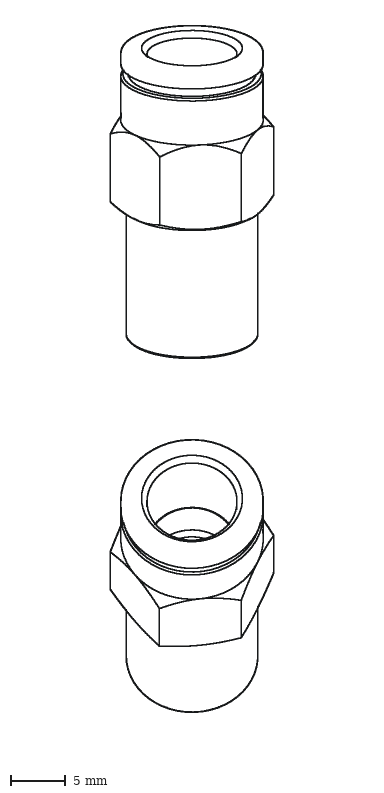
import cadquery as cq
import math

total_height = 28.0
hex_bottom = 12.52
hex_top = 21.0
housing_top = 25.48
flange_bottom = 26.45
sleeve_bottom = 19.6
seat_bottom = 15.4

stem_diameter = 12.0
stem_chamfer = 0.2
across_flats = 13.0
collar_diameter = across_flats
collar_chamfer = 0.2
across_corners = across_flats / math.cos(math.radians(30))
upper_hex_chamfer_angle = 45.0
lower_hex_chamfer_angle = 30.0
through_bore_diameter = 7.0
tube_bore_diameter = 8.1
recess_diameter = 11.6
seat_angle = 30.0

neck_diameter = 11.5
flange_diameter = 13.0
flange_round = 0.42
crown_diameter = 11.15
crown_drop = 0.1
sleeve_bore_diameter = 8.2
mouth_diameter = 9.18
mouth_depth = 0.55


def cone_drop(inner_diameter, outer_diameter, angle):
    """Height change of a cone between two diameters, sloped by angle from horizontal."""
    return (outer_diameter - inner_diameter) / 2 * math.tan(math.radians(angle))


def cylinder(diameter, bottom, top):
    return cq.Workplane("XY").workplane(offset=bottom).circle(diameter / 2).extrude(top - bottom)


def make_hexagon():
    """Hexagon with corners on X, trimmed by a cone at each end."""
    prism = (
        cq.Workplane("XY").workplane(offset=hex_bottom)
        .polygon(6, across_corners).extrude(hex_top - hex_bottom)
    )
    lower_drop = cone_drop(stem_diameter, across_corners, lower_hex_chamfer_angle)
    upper_drop = cone_drop(collar_diameter, across_corners, upper_hex_chamfer_angle)
    envelope = (
        cq.Workplane("XZ")
        .moveTo(0, hex_bottom)
        .lineTo(stem_diameter / 2, hex_bottom)
        .lineTo(across_corners / 2, hex_bottom + lower_drop)
        .lineTo(across_corners / 2, hex_top - upper_drop)
        .lineTo(collar_diameter / 2, hex_top)
        .lineTo(0, hex_top)
        .close()
        .revolve(360, (0, 0), (0, 1))
    )
    return prism.intersect(envelope)


def make_housing_cavity():
    """Through bore, conical tube seat, tube bore and sleeve recess."""
    seat_top = seat_bottom + cone_drop(through_bore_diameter, tube_bore_diameter, seat_angle)
    return (
        cq.Workplane("XZ")
        .lineTo(through_bore_diameter / 2, 0)
        .lineTo(through_bore_diameter / 2, seat_bottom)
        .lineTo(tube_bore_diameter / 2, seat_top)
        .lineTo(tube_bore_diameter / 2, sleeve_bottom)
        .lineTo(recess_diameter / 2, sleeve_bottom)
        .lineTo(recess_diameter / 2, housing_top)
        .lineTo(0, housing_top)
        .close()
        .revolve(360, (0, 0), (0, 1))
    )


def make_housing():
    stem = cylinder(stem_diameter, 0, hex_bottom).faces("<Z").chamfer(stem_chamfer)
    collar = cylinder(collar_diameter, hex_top, housing_top).faces(">Z").chamfer(collar_chamfer)
    return stem.union(make_hexagon()).union(collar).cut(make_housing_cavity())


def make_release_sleeve():
    """Flanged sleeve with a slightly crowned rim, a rounded edge and a conical mouth."""
    bore_radius = sleeve_bore_diameter / 2
    flange_radius = flange_diameter / 2
    rim_height = total_height - crown_drop
    round_center_radius = flange_radius - flange_round
    round_center_height = rim_height - flange_round
    round_middle = (
        round_center_radius + flange_round * math.cos(math.radians(45)),
        round_center_height + flange_round * math.sin(math.radians(45)),
    )
    return (
        cq.Workplane("XZ")
        .moveTo(bore_radius, sleeve_bottom)
        .lineTo(neck_diameter / 2, sleeve_bottom)
        .lineTo(neck_diameter / 2, flange_bottom)
        .lineTo(flange_radius, flange_bottom)
        .lineTo(flange_radius, round_center_height)
        .threePointArc(round_middle, (round_center_radius, rim_height))
        .lineTo(crown_diameter / 2, total_height)
        .lineTo(mouth_diameter / 2, total_height)
        .lineTo(bore_radius, total_height - mouth_depth)
        .close()
        .revolve(360, (0, 0), (0, 1))
    )


housing = make_housing()
release_sleeve = make_release_sleeve()

result = cq.Compound.makeCompound([housing.val(), release_sleeve.val()])